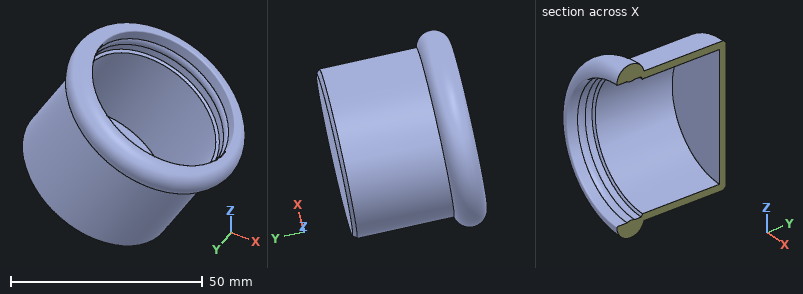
import cadquery as cq
import math

rim_diameter = 52.7
length = 36.0
body_diameter = 45.55
base_chamfer = 1.0

rim_width = 9.1
rim_round = rim_width / 2
mouth_radius = rim_diameter / 2 - rim_round

entry_radius = 42.7 / 2
socket_radius = 42.4 / 2
bore_radius = 40.75 / 2
step_depth = 8.0
floor_thickness = 2.3
step_length = 0.4
mouth_fillet = mouth_radius - entry_radius

bead_start = 3.35
bead_end = 5.8
bead_crest_radius = 21.0

mouth_y = -length / 2
base_y = length / 2
floor_y = base_y - floor_thickness
body_radius = body_diameter / 2
rim_middle_y = mouth_y + rim_round
rim_meet_y = rim_middle_y + math.sqrt(rim_round**2 - (body_radius - mouth_radius) ** 2)
fillet_mid = mouth_fillet * (1 - math.sqrt(0.5))


def revolved_cup():
    profile = (
        cq.Workplane("XY")
        .moveTo(0, base_y)
        .lineTo(body_radius - base_chamfer, base_y)
        .lineTo(body_radius, base_y - base_chamfer)
        .lineTo(body_radius, rim_meet_y)
        .threePointArc((rim_diameter / 2, rim_middle_y), (mouth_radius, mouth_y))
        .threePointArc(
            (entry_radius + fillet_mid, mouth_y + fillet_mid),
            (entry_radius, mouth_y + mouth_fillet),
        )
        .lineTo(entry_radius, mouth_y + bead_start)
        .threePointArc(
            (bead_crest_radius, mouth_y + (bead_start + bead_end) / 2),
            (socket_radius, mouth_y + bead_end),
        )
        .lineTo(socket_radius, mouth_y + step_depth)
        .lineTo(bore_radius, mouth_y + step_depth + step_length)
        .lineTo(bore_radius, floor_y)
        .lineTo(0, floor_y)
        .close()
    )
    return profile.revolve(360, (0, 0, 0), (0, 1, 0))


result = revolved_cup()